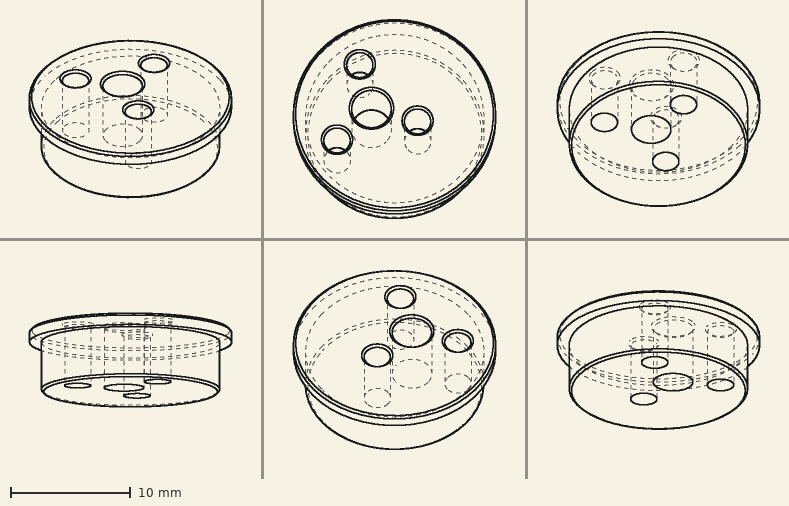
import cadquery as cq

flange_diameter = 16.9
flange_thickness = 1.0
body_diameter = 14.9
total_height = 5.2
edge_chamfer = 0.2

pattern_center_x = -2.0
center_hole_diameter = 3.3
outer_hole_diameter = 2.2
outer_hole_count = 3
outer_hole_circle_radius = 4.0

body_height = total_height - flange_thickness


def flanged_plug():
    """Round body standing on Z = 0 with a wider flange on top, outer rims chamfered."""
    body = cq.Workplane("XY").circle(body_diameter / 2).extrude(body_height)
    body = body.faces("<Z").chamfer(edge_chamfer)
    flange = (
        cq.Workplane("XY", origin=(0, 0, body_height))
        .circle(flange_diameter / 2)
        .extrude(flange_thickness)
        .faces(">Z")
        .chamfer(edge_chamfer)
    )
    return body.union(flange)


def chamfered_hole_cutter(diameter):
    """Through-hole tool on the Z axis that widens at the top face."""
    radius = diameter / 2
    profile = [
        (0, 0),
        (radius, 0),
        (radius, total_height - edge_chamfer),
        (radius + edge_chamfer, total_height),
        (0, total_height),
    ]
    return cq.Workplane("XZ").polyline(profile).close().revolve(360, (0, 0), (0, 1))


def hole_pattern_cutters():
    """Center hole surrounded by equally spaced smaller holes, the first toward +X."""
    cutters = chamfered_hole_cutter(center_hole_diameter)
    outer_cutter = chamfered_hole_cutter(outer_hole_diameter).translate((outer_hole_circle_radius, 0, 0))
    for index in range(outer_hole_count):
        angle = index * 360 / outer_hole_count
        cutters = cutters.union(outer_cutter.rotate((0, 0, 0), (0, 0, 1), angle))
    return cutters.translate((pattern_center_x, 0, 0))


result = flanged_plug().cut(hole_pattern_cutters())